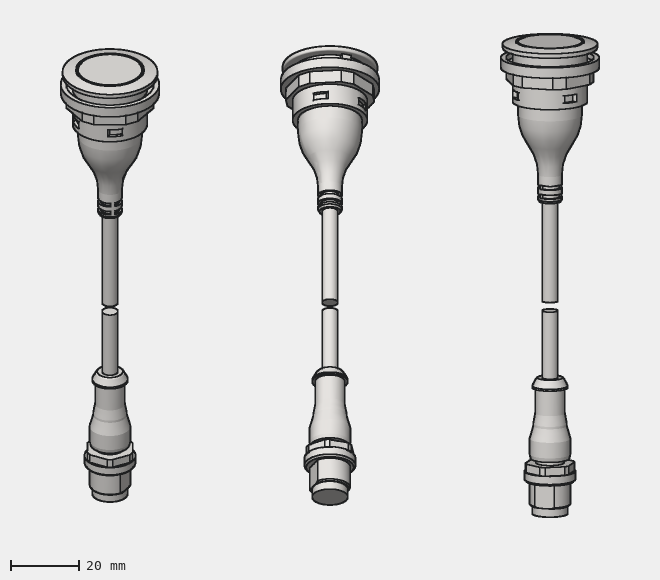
import cadquery as cq
import math

TOTAL_HEIGHT = 141.8
CABLE_DIAMETER = 4.7

SOCKET_CABLE_END = 63.8

LID_DIAMETER = 28.0
LID_TOP_DIAMETER = 20.0
LID_RISE = 0.7
LID_THICKNESS = 1.4
LID_RIM_TOP = TOTAL_HEIGHT - LID_RISE
LID_BOTTOM = LID_RIM_TOP - LID_THICKNESS
LID_EDGE_RADIUS = 0.4
LID_GROOVE_WIDTH = 0.5
LID_GROOVE_DEPTH = 0.4

BARREL_DIAMETER = 22.0
BARREL_BOTTOM = 123.7

COLLAR_DIAMETER = 29.0
COLLAR_TOP = 137.0
COLLAR_BOTTOM = 133.9
COLLAR_RECESS_DIAMETER = 25.8
COLLAR_RECESS_DEPTH = 1.7

PANEL_NUT_FLATS = 24.3
PANEL_NUT_CORNERS = 25.7
PANEL_NUT_BOTTOM = 130.1

WINDOW_ANGLE = 37.0
WINDOW_WIDTH = 3.4
WINDOW_BOTTOM = 125.4
WINDOW_TOP = 127.7
WINDOW_FLOOR_DIAMETER = 19.7

BOOT_DIAMETER = 18.9
BOOT_SHOULDER = 119.9
BOOT_TAIL_TOP = 101.8
BOOT_TAIL_DIAMETER = 7.1
BOOT_BOTTOM = 93.8
BOOT_CHAMFER_HEIGHT = 0.7
BOOT_CHAMFER_WIDTH = 0.4
BOOT_GROOVE_DIAMETER = 5.5
BOOT_GROOVE_HEIGHT = 1.1
BOOT_GROOVE_BOTTOMS = (97.9, 95.2)
BOOT_BRIDGE_WIDTH = 1.3
BOOT_BRIDGE_ANGLE = -45.0

TAB_REACH = 12.2
TAB_WIDTH = 2.8
TAB_HEIGHT = 1.7

PLUG_CABLE_TOP = 61.0

GRIP_TOP = 40.9
GRIP_TOP_DIAMETER = 8.4
GRIP_TOP_CHAMFER = 0.4
GRIP_RIM_TOP = 38.5
GRIP_RIM_BOTTOM = 37.9
GRIP_RIM_DIAMETER = 10.5
GRIP_WAIST_DIAMETER = 8.8
GRIP_WAIST_BOTTOM = 30.2
GRIP_STEP_DIAMETER = 10.0
GRIP_STEP_TOP = 27.1
GRIP_STEP_BOTTOM = 26.4
GRIP_DIAMETER = 12.0
GRIP_FLARE_BOTTOM = 22.5
GRIP_CHAMFER_TOP = 17.9
GRIP_BOTTOM = 16.6
GRIP_BOTTOM_DIAMETER = 11.5

NECK_DIAMETER = 8.4
NUT_TOP = 15.3
NUT_FLATS = 13.3
NUT_CORNERS = 14.5
FLANGE_DIAMETER = 15.0
FLANGE_TOP = 12.8
FLANGE_BOTTOM = 9.8
FLANGE_CHAMFER = 0.5
SHELL_DIAMETER = 12.0
SHELL_FLATS = 10.5
SHELL_BOTTOM = 2.5
SHELL_CHAMFER = 0.4
NOSE_DIAMETER = 10.5

HEXAGON_SIDES = 6
HALF_HEXAGON_STEP = 180.0 / HEXAGON_SIDES


def cylinder(diameter, bottom, top):
    """Upright cylinder on the Z axis."""
    return cq.Workplane("XY").workplane(offset=bottom).circle(diameter / 2).extrude(top - bottom)


def hexagon_prism(flats, bottom, top, turn):
    """Upright hexagonal prism; with no turn its corners lie on the X axis."""
    prism = (
        cq.Workplane("XY")
        .workplane(offset=bottom)
        .polygon(HEXAGON_SIDES, flats / math.cos(math.radians(HALF_HEXAGON_STEP)))
        .extrude(top - bottom)
    )
    return prism.rotate((0, 0, 0), (0, 0, 1), turn)


def hexagon_nut(flats, corners, bottom, top, turn):
    """Hexagon whose six corners are cut flat to the given width across corners."""
    hexagon = hexagon_prism(flats, bottom, top, turn)
    return hexagon.intersect(hexagon_prism(corners, bottom, top, turn + HALF_HEXAGON_STEP))


def make_lid():
    """Round lid with a slightly conical rim and a fine groove around its flat centre."""
    lid = (
        cq.Workplane("XZ")
        .moveTo(0, LID_BOTTOM)
        .lineTo(LID_DIAMETER / 2, LID_BOTTOM)
        .lineTo(LID_DIAMETER / 2, LID_RIM_TOP)
        .lineTo(LID_TOP_DIAMETER / 2, TOTAL_HEIGHT)
        .lineTo(0, TOTAL_HEIGHT)
        .close()
        .revolve(360, (0, 0, 0), (0, 1, 0))
    )
    lid = lid.faces("<Z").edges().fillet(LID_EDGE_RADIUS)
    groove = (
        cq.Workplane("XY")
        .workplane(offset=TOTAL_HEIGHT - LID_GROOVE_DEPTH)
        .circle(LID_TOP_DIAMETER / 2)
        .circle(LID_TOP_DIAMETER / 2 - LID_GROOVE_WIDTH)
        .extrude(LID_GROOVE_DEPTH)
    )
    return lid.cut(groove)


def make_collar():
    """Wide collar whose top is sunk around the barrel, leaving a raised outer rim."""
    recess = cylinder(COLLAR_RECESS_DIAMETER, COLLAR_TOP - COLLAR_RECESS_DEPTH, COLLAR_TOP)
    return cylinder(COLLAR_DIAMETER, COLLAR_BOTTOM, COLLAR_TOP).cut(recess)


def make_window_pockets():
    """Four shallow pockets in the barrel, with side walls parallel to Y."""
    centre_x = BARREL_DIAMETER / 2 * math.sin(math.radians(WINDOW_ANGLE))
    slabs = (
        cq.Workplane("XY")
        .workplane(offset=WINDOW_BOTTOM)
        .pushPoints([(-centre_x, 0), (centre_x, 0)])
        .rect(WINDOW_WIDTH, BARREL_DIAMETER)
        .extrude(WINDOW_TOP - WINDOW_BOTTOM)
    )
    return slabs.cut(cylinder(WINDOW_FLOOR_DIAMETER, WINDOW_BOTTOM, WINDOW_TOP))


def make_boot_groove(bottom):
    """Ring groove of the tail, interrupted by two bridges on opposite sides."""
    top = bottom + BOOT_GROOVE_HEIGHT
    ring = cylinder(BOOT_DIAMETER, bottom, top).cut(cylinder(BOOT_GROOVE_DIAMETER, bottom, top))
    bridges = (
        cq.Workplane("XY")
        .workplane(offset=bottom)
        .rect(BOOT_DIAMETER, BOOT_BRIDGE_WIDTH)
        .extrude(BOOT_GROOVE_HEIGHT)
        .rotate((0, 0, 0), (0, 0, 1), BOOT_BRIDGE_ANGLE)
    )
    return ring.cut(bridges)


def make_boot():
    """Bell-shaped boot that narrows in an S-curve to a grooved tail."""
    shoulder_radius = BOOT_DIAMETER / 2
    tail_radius = BOOT_TAIL_DIAMETER / 2
    curve_middle = ((shoulder_radius + tail_radius) / 2, (BOOT_SHOULDER + BOOT_TAIL_TOP) / 2)
    boot = (
        cq.Workplane("XZ")
        .moveTo(0, BARREL_BOTTOM)
        .lineTo(shoulder_radius, BARREL_BOTTOM)
        .lineTo(shoulder_radius, BOOT_SHOULDER)
        .tangentArcPoint(curve_middle, relative=False)
        .tangentArcPoint((tail_radius, BOOT_TAIL_TOP), relative=False)
        .lineTo(tail_radius, BOOT_BOTTOM + BOOT_CHAMFER_HEIGHT)
        .lineTo(tail_radius - BOOT_CHAMFER_WIDTH, BOOT_BOTTOM)
        .lineTo(0, BOOT_BOTTOM)
        .close()
        .revolve(360, (0, 0, 0), (0, 1, 0))
    )
    for bottom in BOOT_GROOVE_BOTTOMS:
        boot = boot.cut(make_boot_groove(bottom))
    return boot


def make_tab():
    """Small tab under the lid, standing out of the barrel towards +Y."""
    tab = cq.Workplane("XY").box(TAB_WIDTH, TAB_REACH, TAB_HEIGHT, centered=(True, False, False))
    return tab.translate((0, 0, LID_BOTTOM - TAB_HEIGHT))


def make_socket():
    """Panel socket with lid, collar, panel nut, boot and its length of cable."""
    barrel = cylinder(BARREL_DIAMETER, BARREL_BOTTOM, LID_BOTTOM).cut(make_window_pockets())
    panel_nut = hexagon_nut(
        PANEL_NUT_FLATS, PANEL_NUT_CORNERS, PANEL_NUT_BOTTOM, COLLAR_BOTTOM, HALF_HEXAGON_STEP
    )
    return (
        barrel.union(make_lid())
        .union(make_tab())
        .union(make_collar())
        .union(panel_nut)
        .union(make_boot())
        .union(cylinder(CABLE_DIAMETER, SOCKET_CABLE_END, BOOT_BOTTOM))
    )


def make_grip():
    """Waisted grip of the plug, flaring down to its widest band, and the neck below it."""
    return (
        cq.Workplane("XZ")
        .moveTo(0, GRIP_TOP)
        .lineTo(GRIP_TOP_DIAMETER / 2 - GRIP_TOP_CHAMFER, GRIP_TOP)
        .lineTo(GRIP_TOP_DIAMETER / 2, GRIP_TOP - GRIP_TOP_CHAMFER)
        .lineTo(GRIP_RIM_DIAMETER / 2, GRIP_RIM_TOP)
        .lineTo(GRIP_RIM_DIAMETER / 2, GRIP_RIM_BOTTOM)
        .lineTo(GRIP_WAIST_DIAMETER / 2, GRIP_RIM_BOTTOM)
        .lineTo(GRIP_WAIST_DIAMETER / 2, GRIP_WAIST_BOTTOM)
        .lineTo(GRIP_STEP_DIAMETER / 2, GRIP_STEP_TOP)
        .lineTo(GRIP_STEP_DIAMETER / 2, GRIP_STEP_BOTTOM)
        .lineTo(GRIP_DIAMETER / 2, GRIP_FLARE_BOTTOM)
        .lineTo(GRIP_DIAMETER / 2, GRIP_CHAMFER_TOP)
        .lineTo(GRIP_BOTTOM_DIAMETER / 2, GRIP_BOTTOM)
        .lineTo(NECK_DIAMETER / 2, GRIP_BOTTOM)
        .lineTo(NECK_DIAMETER / 2, NUT_TOP)
        .lineTo(0, NUT_TOP)
        .close()
        .revolve(360, (0, 0, 0), (0, 1, 0))
    )


def make_shell():
    """Round shell below the flange with two flats facing -X and +X, and its round nose."""
    flats = cq.Workplane("XY").box(SHELL_FLATS, SHELL_DIAMETER, FLANGE_BOTTOM, centered=(True, True, False))
    shell = cylinder(SHELL_DIAMETER, SHELL_BOTTOM, FLANGE_BOTTOM).faces("<Z").chamfer(SHELL_CHAMFER)
    return shell.intersect(flats).union(cylinder(NOSE_DIAMETER, 0, SHELL_BOTTOM))


def make_plug():
    """Cable plug with grip, hexagon, flange and shell."""
    flange = cylinder(FLANGE_DIAMETER, FLANGE_BOTTOM, FLANGE_TOP).faces("<Z").chamfer(FLANGE_CHAMFER)
    return (
        make_grip()
        .union(cylinder(CABLE_DIAMETER, GRIP_TOP, PLUG_CABLE_TOP))
        .union(hexagon_nut(NUT_FLATS, NUT_CORNERS, FLANGE_TOP, NUT_TOP, 0))
        .union(flange)
        .union(make_shell())
    )


socket = make_socket()
plug = make_plug()

result = cq.Compound.makeCompound([socket.val(), plug.val()])